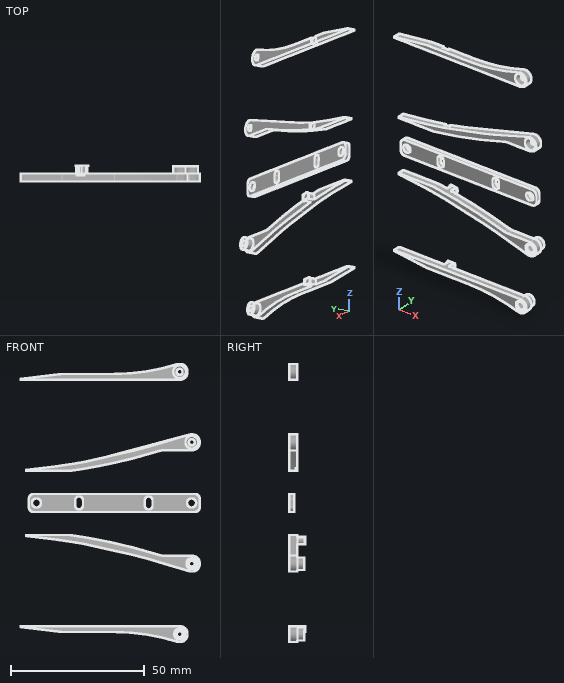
import cadquery as cq
import math


OVERALL_LENGTH = 67.0
OVERALL_HEIGHT = 104.0
ARM_THICKNESS = 3.0
HEAD_RADIUS = 3.0
TIP_HEIGHT = 0.4
SCREW_HOLE_DIAMETER = 2.2

OUTER_HEAD_X = 59.4
OUTER_HEAD_Z = OVERALL_HEIGHT / 2 - HEAD_RADIUS
OUTER_BASE_Z = OUTER_HEAD_Z - HEAD_RADIUS
OUTER_BLADE_HEIGHT = 2.3
OUTER_TAPER_END_X = 15.5
OUTER_FLARE_START_X = 35.0
OUTER_PIN_X = 22.4

INNER_HEAD_X = OVERALL_LENGTH - HEAD_RADIUS
INNER_HEAD_Z = 22.7
INNER_TIP_X = 2.0
INNER_TIP_BASE_Z = 12.0
INNER_BOTTOM_ARC = [(18.6, INNER_TIP_BASE_Z), (35.7, 15.1), (52.6, INNER_HEAD_Z - HEAD_RADIUS)]
INNER_CORNER_RADIUS = 6.2
INNER_TAPER_END = (21.7, 15.0)
INNER_TIP_SLOPE = 0.12
INNER_RIDGE_START = (31.7, 17.2)
INNER_RIDGE_START_SLOPE = 0.24
INNER_SAG_POINT = (43.7, 19.9)
INNER_PIN_X = 23.4
INNER_PIN_Z = 14.0

COUNTERSINK_DIAMETER = 4.8
COUNTERSINK_DEPTH = 2.0
SOCKET_DIAMETER = 3.3
SOCKET_DEPTH = 0.7

BOSS_DIAMETER = 4.8
BOSS_END_Y = 5.7
RECESS_DIAMETER = 3.2
RECESS_CHAMFER = 0.4
RECESS_FLOOR_Y = 4.2
PIN_DIAMETER = 3.2
PIN_END_Y = 6.0
LIP_DIAMETER = 3.8
LIP_THICKNESS = 0.3

BAR_LEFT_X = 3.0
BAR_HEIGHT = 6.9
BAR_THICKNESS = 2.0
BAR_CORNER_RADIUS = 2.0
BAR_HOLE_DIAMETER = 3.3
BAR_HOLE_XS = (5.9, 63.8)
BAR_SLOT_XS = (21.8, 47.8)
BAR_SLOT_WIDTH = 2.8
BAR_SLOT_HEIGHT = 4.8


def cylinder(x, z, diameter, start_y, end_y):
    """Cylinder along +Y between two Y positions."""
    return cq.Workplane(
        cq.Solid.makeCylinder(diameter / 2, end_y - start_y, cq.Vector(x, start_y, z), cq.Vector(0, 1, 0))
    )


def cone(x, z, front_diameter, back_diameter, depth):
    """Cone narrowing from the front face at Y = 0 toward +Y."""
    return cq.Workplane(
        cq.Solid.makeCone(
            front_diameter / 2, back_diameter / 2, depth, cq.Vector(x, 0, z), cq.Vector(0, 1, 0)
        )
    )


def extrude_back(sketch, depth):
    """Extrude a closed XZ outline from Y = 0 toward +Y."""
    return sketch.extrude(-depth)


def outer_outline():
    """Straight blade: tapered tip, level middle, then an arc flaring tangent into the head."""
    blade_z = OUTER_BASE_Z + OUTER_BLADE_HEIGHT
    run = OUTER_HEAD_X - OUTER_FLARE_START_X
    rise = OUTER_HEAD_Z - blade_z
    flare_radius = (run**2 + rise**2 - HEAD_RADIUS**2) / (2 * (HEAD_RADIUS + rise))
    flare_angle = math.asin(run / (flare_radius + HEAD_RADIUS))
    flare_end = (
        OUTER_HEAD_X - HEAD_RADIUS * math.sin(flare_angle),
        OUTER_HEAD_Z + HEAD_RADIUS * math.cos(flare_angle),
    )
    flare_middle = (
        OUTER_FLARE_START_X + flare_radius * math.sin(flare_angle / 2),
        blade_z + flare_radius * (1 - math.cos(flare_angle / 2)),
    )
    return (
        cq.Workplane("XZ")
        .moveTo(0, OUTER_BASE_Z)
        .lineTo(0, OUTER_BASE_Z + TIP_HEIGHT)
        .lineTo(OUTER_TAPER_END_X, blade_z)
        .lineTo(OUTER_FLARE_START_X, blade_z)
        .threePointArc(flare_middle, flare_end)
        .threePointArc((OUTER_HEAD_X + HEAD_RADIUS, OUTER_HEAD_Z), (OUTER_HEAD_X, OUTER_BASE_Z))
        .close()
    )


def ridge_end():
    """Where the line from the ridge start touches the upper side of the curved arm's head."""
    run = INNER_HEAD_X - INNER_RIDGE_START[0]
    rise = INNER_HEAD_Z - INNER_RIDGE_START[1]
    line_angle = math.atan2(rise, run) + math.asin(HEAD_RADIUS / math.hypot(run, rise))
    return (
        INNER_HEAD_X - HEAD_RADIUS * math.sin(line_angle),
        INNER_HEAD_Z + HEAD_RADIUS * math.cos(line_angle),
    )


def head_tangent(point):
    """Direction of the head circle at a point on its upper side, heading toward +X."""
    return point[1] - INNER_HEAD_Z, INNER_HEAD_X - point[0]


def inner_outline():
    """Curved blade: tapered tip, a sagging top curve tangent into the head, an arc below."""
    bottom_start, bottom_middle, bottom_end = INNER_BOTTOM_ARC
    head_start = ridge_end()
    head_base_z = INNER_HEAD_Z - HEAD_RADIUS
    tip_direction = (1, INNER_TIP_SLOPE)
    start_direction = (1, INNER_RIDGE_START_SLOPE)
    return (
        cq.Workplane("XZ")
        .moveTo(*bottom_start)
        .lineTo(INNER_TIP_X, INNER_TIP_BASE_Z)
        .lineTo(INNER_TIP_X, INNER_TIP_BASE_Z + TIP_HEIGHT)
        .spline(
            [INNER_TAPER_END, INNER_RIDGE_START],
            tangents=[tip_direction, start_direction],
            includeCurrent=True,
        )
        .spline(
            [INNER_SAG_POINT, head_start],
            tangents=[start_direction, head_tangent(head_start)],
            includeCurrent=True,
        )
        .threePointArc((INNER_HEAD_X + HEAD_RADIUS, INNER_HEAD_Z), (INNER_HEAD_X, head_base_z))
        .lineTo(*bottom_end)
        .threePointArc(bottom_middle, bottom_start)
        .close()
    )


def inner_blank():
    """Curved arm plate with the corner under the head rounded."""
    corner_x, corner_z = INNER_BOTTOM_ARC[-1]
    plate = extrude_back(inner_outline(), ARM_THICKNESS)
    corner = cq.selectors.NearestToPointSelector((corner_x, ARM_THICKNESS / 2, corner_z))
    return plate.edges("|Y").edges(corner).fillet(INNER_CORNER_RADIUS)


def outer_blank():
    """Straight arm plate."""
    return extrude_back(outer_outline(), ARM_THICKNESS)


def ridge():
    """Wedge filling the sag of the curved arm's top: nothing at the front, a straight crest at the back."""
    back = ARM_THICKNESS
    end = ridge_end()
    end_direction = head_tangent(end)

    def at(point, y):
        return cq.Vector(point[0], y, point[1])

    def sag_curve(y):
        return cq.Edge.makeSpline(
            [at(point, y) for point in (INNER_RIDGE_START, INNER_SAG_POINT, end)],
            tangents=[
                cq.Vector(1, 0, INNER_RIDGE_START_SLOPE),
                cq.Vector(end_direction[0], 0, end_direction[1]),
            ],
        )

    crest = cq.Edge.makeLine(at(INNER_RIDGE_START, back), at(end, back))
    underside = cq.Face.makeRuledSurface(sag_curve(0), sag_curve(back))
    top = cq.Face.makeRuledSurface(sag_curve(0), crest)
    back_face = cq.Face.makeFromWires(cq.Wire.assembleEdges([sag_curve(back), crest]))
    return cq.Workplane(cq.Solid.makeSolid(cq.Shell.makeShell([underside, top, back_face])).fix())


def socket_arm(blank, head_x, head_z, pin_x, pin_z):
    """Upper arm: countersunk screw hole in the head, shallow round socket in the back."""
    back = ARM_THICKNESS
    return (
        blank.cut(cylinder(head_x, head_z, SCREW_HOLE_DIAMETER, 0, back))
        .cut(cone(head_x, head_z, COUNTERSINK_DIAMETER, SCREW_HOLE_DIAMETER, COUNTERSINK_DEPTH))
        .cut(cylinder(pin_x, pin_z, SOCKET_DIAMETER, back - SOCKET_DEPTH, back))
    )


def pin_arm(blank, outline, head_x, head_z, pin_x, pin_z):
    """Lower arm, mirrored below the bar: recessed boss behind the head, lipped pin behind the blade."""
    back = ARM_THICKNESS
    lip_start = PIN_END_Y - LIP_THICKNESS
    pin = cylinder(pin_x, pin_z, PIN_DIAMETER, back, PIN_END_Y)
    lip = cylinder(pin_x, pin_z, LIP_DIAMETER, lip_start, PIN_END_Y)
    trimmed_pin = pin.union(lip).intersect(extrude_back(outline, PIN_END_Y))
    mouth_diameter = RECESS_DIAMETER + 2 * RECESS_CHAMFER
    arm = (
        blank.union(cylinder(head_x, head_z, BOSS_DIAMETER, back, BOSS_END_Y))
        .union(trimmed_pin)
        .cut(cylinder(head_x, head_z, SCREW_HOLE_DIAMETER, 0, BOSS_END_Y))
        .cut(cylinder(head_x, head_z, RECESS_DIAMETER, 0, RECESS_FLOOR_Y))
        .cut(cone(head_x, head_z, mouth_diameter, RECESS_DIAMETER, RECESS_CHAMFER))
    )
    return arm.mirror("XY")


def make_bar():
    """Rounded flat bar with a hole at each end and two upright slots."""
    length = OVERALL_LENGTH - BAR_LEFT_X
    plate = extrude_back(
        cq.Workplane("XZ").center(BAR_LEFT_X + length / 2, 0).rect(length, BAR_HEIGHT), BAR_THICKNESS
    )
    plate = plate.edges("|Y").fillet(BAR_CORNER_RADIUS)
    for x in BAR_HOLE_XS:
        plate = plate.cut(cylinder(x, 0, BAR_HOLE_DIAMETER, 0, BAR_THICKNESS))
    slots = cq.Workplane("XZ").pushPoints([(x, 0) for x in BAR_SLOT_XS])
    return plate.cut(extrude_back(slots.slot2D(BAR_SLOT_HEIGHT, BAR_SLOT_WIDTH, 90), BAR_THICKNESS))


outer_place = (OUTER_HEAD_X, OUTER_HEAD_Z, OUTER_PIN_X, OUTER_BASE_Z + OUTER_BLADE_HEIGHT / 2)
inner_place = (INNER_HEAD_X, INNER_HEAD_Z, INNER_PIN_X, INNER_PIN_Z)

outer_socket_arm = socket_arm(outer_blank(), *outer_place)
inner_socket_arm = socket_arm(inner_blank().union(ridge()), *inner_place)
bar = make_bar()
inner_pin_arm = pin_arm(inner_blank(), inner_outline(), *inner_place)
outer_pin_arm = pin_arm(outer_blank(), outer_outline(), *outer_place)

bodies = [outer_socket_arm, inner_socket_arm, bar, inner_pin_arm, outer_pin_arm]
result = cq.Compound.makeCompound([body.solids().val() for body in bodies])